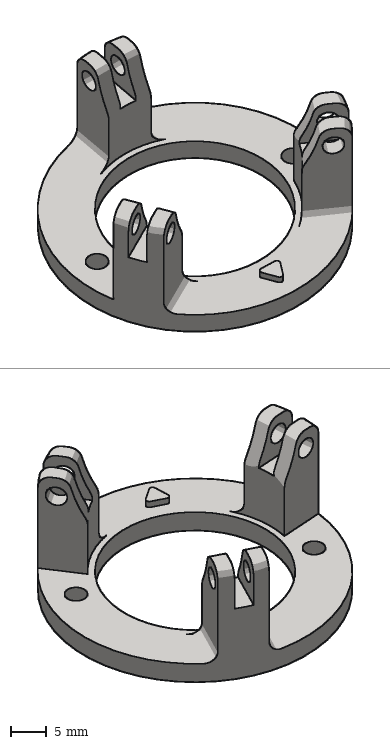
import cadquery as cq
import math

outer_radius = 22.0
bore_radius = 28.0 / 2
base_thickness = 3.2
total_height = 19.2
mount_hole_diameter = 3.2
mount_hole_radius = 17.5

lug_inner_radius = 15.0
lug_width = 7.55
slot_width = 2.75
slot_floor = 12.25
pin_diameter = 3.1
pin_radius = 19.0
pin_height = 16.0
foot_fillet = 2.0
top_round = 2.0
crown_radius = 18.85
crown_sweep = math.radians(75.5)
slope_radius = 17.6
shoulder_fillet = 2.4
lug_root = 13.2
stock_reach = 24.2

lugs = [(180, (1, -1)), (60, (-1,)), (-60, (1,))]

arrow_back = 16.32
arrow_half_width = 1.7
arrow_rounding = 0.5
arrow_height = 1.0


def turn(shape, direction):
    return shape.rotate((0, 0, 0), (0, 0, 1), direction)


def make_turned_stock():
    """Base ring and full-height lug wall in one revolved body, rounded on its outer top edge."""
    return (
        cq.Workplane("XZ")
        .moveTo(bore_radius, 0)
        .lineTo(outer_radius, 0)
        .lineTo(outer_radius, total_height - top_round)
        .radiusArc((outer_radius - top_round, total_height), -top_round)
        .lineTo(lug_inner_radius, total_height)
        .lineTo(lug_inner_radius, base_thickness)
        .lineTo(bore_radius, base_thickness)
        .close()
        .revolve(360, (0, 0, 0), (0, 1, 0))
    )


def slope_center():
    """Centre (x, z) of the concave slope, which is tangent to the crown rounding."""
    center_distance = top_round + slope_radius
    return (
        crown_radius - center_distance * math.sin(crown_sweep),
        total_height - top_round + center_distance * math.cos(crown_sweep),
    )


def slope_height(radius):
    """Height of the concave slope at a distance from the ring axis."""
    center_x, center_z = slope_center()
    return center_z - math.sqrt(slope_radius**2 - (radius - center_x) ** 2)


def make_lug_block():
    """Oversize lug whose inner side falls from the rounded crown along a concave arc."""
    slope_start = (
        crown_radius - top_round * math.sin(crown_sweep),
        total_height - top_round + top_round * math.cos(crown_sweep),
    )
    return (
        cq.Workplane("XZ")
        .moveTo(stock_reach, 0)
        .lineTo(stock_reach, total_height)
        .lineTo(crown_radius, total_height)
        .radiusArc(slope_start, -top_round)
        .radiusArc((bore_radius, slope_height(bore_radius)), slope_radius)
        .lineTo(bore_radius, 0)
        .close()
        .extrude(lug_width / 2, both=True)
    )


def make_foot(side):
    """Concave fillet between one lug side and the base."""
    lug_side = side * lug_width / 2
    toe = lug_side + side * foot_fillet
    return (
        cq.Workplane("YZ", origin=(lug_root, 0, 0))
        .moveTo(0, 0)
        .lineTo(toe, 0)
        .lineTo(toe, base_thickness)
        .radiusArc((lug_side, base_thickness + foot_fillet), side * foot_fillet)
        .lineTo(0, base_thickness + foot_fillet)
        .close()
        .extrude(stock_reach - lug_root)
    )


def make_body():
    """Turned stock trimmed to the base and the three lugs, with rounded lug shoulders."""
    kept = cq.Workplane("XY").circle(stock_reach).extrude(base_thickness)
    for direction, fillet_sides in lugs:
        block = make_lug_block()
        for side in fillet_sides:
            block = block.union(make_foot(side))
        kept = kept.union(turn(block, direction))
    body = make_turned_stock().intersect(kept)

    for direction, _ in lugs:
        angle = math.radians(direction)
        shoulder = (
            lug_inner_radius * math.cos(angle),
            lug_inner_radius * math.sin(angle),
            slope_height(lug_inner_radius),
        )
        body = body.edges(cq.selectors.NearestToPointSelector(shoulder)).fillet(shoulder_fillet)
    return body


def make_fork_cutter():
    """Radial slot and pin hole that turn a lug into a fork."""
    slot = (
        cq.Workplane("XY", origin=(bore_radius, 0, slot_floor))
        .box(stock_reach - bore_radius, slot_width, total_height, centered=(False, True, False))
    )
    pin_hole = (
        cq.Workplane("XZ")
        .center(pin_radius, pin_height)
        .circle(pin_diameter / 2)
        .extrude(lug_width, both=True)
    )
    return slot.union(pin_hole)


def make_mount_holes():
    return (
        cq.Workplane("XY")
        .pushPoints([(0, mount_hole_radius), (0, -mount_hole_radius)])
        .circle(mount_hole_diameter / 2)
        .extrude(base_thickness)
    )


def make_arrow():
    sharp_half_width = arrow_half_width + arrow_rounding * (math.sqrt(3) - 1)
    length = sharp_half_width * math.sqrt(3)
    return (
        cq.Workplane("XY", origin=(0, 0, base_thickness))
        .polyline([
            (arrow_back, -sharp_half_width),
            (arrow_back + length, 0),
            (arrow_back, sharp_half_width),
        ])
        .close()
        .extrude(arrow_height)
        .edges("|Z")
        .fillet(arrow_rounding)
    )


result = make_body().cut(make_mount_holes()).union(make_arrow())
for direction, _ in lugs:
    result = result.cut(turn(make_fork_cutter(), direction))